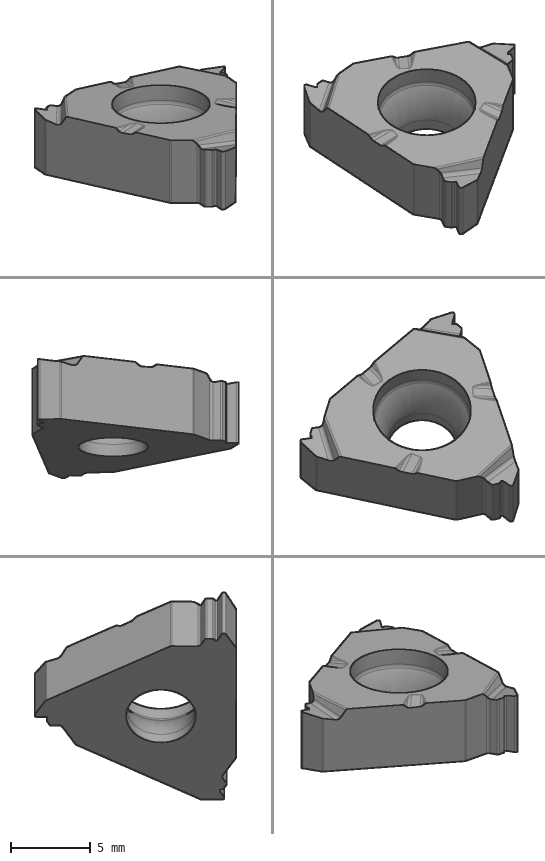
import cadquery as cq
import math

THICKNESS = 4.31
TOOTH_COUNT = 3
TOOTH_PITCH = 360 / TOOTH_COUNT

SIDE_DISTANCE = 4.76
FLANK_DISTANCE = 6.96
RELIEF_DISTANCE = 5.85
CREST_DISTANCE = 6.46
SIDE_NORMAL = 60
FLANK_NORMAL = 30
RELIEF_NORMAL = -30
TIP_EDGE_Y = -0.1
CREST_EDGE_Y = -0.8
NOTCH_ROOT_X = 7.17
NOTCH_CREST_X = 7.24

BODY_RADIUS = 0.2
TIP_RADIUS = 0.15
NOTCH_RADIUS = 0.08
NOTCH_CREST_RADIUS = 0.11
CREST_RADIUS = 0.14
RELIEF_RADIUS = 0.24

GROOVE_X = 6.38
GROOVE_DEPTH = 0.58
GROOVE_WALL_ANGLE = 60
GROOVE_FLOOR_RISE = 9
GROOVE_TILT = 5.1
GROOVE_YAW = 0.5
GROOVE_RADIUS = 0.32
GROOVE_EDGE_RADIUS = 0.15
GROOVE_REACH = 2.77

RAMP_END_X = -3.45
RAMP_END_Y = -0.51
RAMP_HEADING = 168
RAMP_SLOPE = 10
RAMP_HALF_WIDTH = 0.42
RAMP_WALL_ANGLE = 38
RAMP_RADIUS = 0.35
RAMP_EDGE_RADIUS = 0.14
RAMP_CUT_HEIGHT = 0.55
RAMP_CUT_LENGTH = 2.22
RIM_BOX_REACH = 1.39
RIM_BOX_MARGIN = 0.01

BORE_RADIUS = 4.4 / 2
RIM_RADIUS = 3.09
WALL_END_RADIUS = 3.04
WALL_DEPTH = 1.0
SEAT_RADIUS = 2.97
SEAT_DEPTH = 1.25
SEAT_BOTTOM_DEPTH = 3.51
SEAT_BLEND_RADIUS = 0.42


def meet(distance_a, normal_a, distance_b, normal_b):
    """Crossing point of two lines given by distance from the origin and normal direction."""
    a, b = math.radians(normal_a), math.radians(normal_b)
    det = math.sin(b - a)
    x = (distance_a * math.sin(b) - distance_b * math.sin(a)) / det
    y = (distance_b * math.cos(a) - distance_a * math.cos(b)) / det
    return cq.Vector(x, y)


def on_y(distance, normal, y):
    """Point at height y on a line given by its distance and normal direction."""
    return meet(distance, normal, y, 90)


def crest_at(x):
    """Point of the crest line at the given x."""
    return meet(CREST_DISTANCE, RELIEF_NORMAL, x, 0)


def rounded_outline(workplane, corners):
    """Closed wire through (point, radius) corners, each rounded by a tangent arc; radius 0 stays sharp."""
    outline = workplane
    for index, (corner, radius) in enumerate(corners):
        before = (corners[index - 1][0] - corner).normalized()
        after = (corners[(index + 1) % len(corners)][0] - corner).normalized()
        half_angle = before.getAngle(after) / 2
        setback = radius / math.tan(half_angle)
        bisector = (before + after).normalized()
        arc_start = corner + before * setback
        arc_middle = corner + bisector * (radius / math.sin(half_angle) - radius)
        arc_end = corner + after * setback
        go_to = outline.lineTo if index else outline.moveTo
        outline = go_to(arc_start.x, arc_start.y)
        if radius:
            outline = outline.threePointArc((arc_middle.x, arc_middle.y), (arc_end.x, arc_end.y))
    return outline.close()


def tooth_corners():
    """Corners of the +X tooth, running clockwise from the upper long side to the lower one."""
    return [
        (meet(SIDE_DISTANCE, SIDE_NORMAL, FLANK_DISTANCE, FLANK_NORMAL), BODY_RADIUS),
        (on_y(FLANK_DISTANCE, FLANK_NORMAL, TIP_EDGE_Y), TIP_RADIUS),
        (cq.Vector(NOTCH_ROOT_X, TIP_EDGE_Y), NOTCH_RADIUS),
        (crest_at(NOTCH_CREST_X), NOTCH_CREST_RADIUS),
        (on_y(CREST_DISTANCE, RELIEF_NORMAL, CREST_EDGE_Y), CREST_RADIUS),
        (on_y(RELIEF_DISTANCE, RELIEF_NORMAL, CREST_EDGE_Y), RELIEF_RADIUS),
        (meet(RELIEF_DISTANCE, RELIEF_NORMAL, SIDE_DISTANCE, -SIDE_NORMAL), BODY_RADIUS),
    ]


def make_body():
    """Insert blank: the tooth outline repeated around Z and extruded."""
    corners = []
    for index in range(TOOTH_COUNT):
        frame = cq.Plane.XY().rotated((0, 0, -index * TOOTH_PITCH))
        corners += [(frame.toWorldCoords(point), radius) for point, radius in tooth_corners()]
    return rounded_outline(cq.Workplane("XY"), corners).extrude(THICKNESS)


def groove_cutter():
    """Rake groove of the +X tooth, drawn in XZ and tilted to deepen towards +Y."""
    wall_run = GROOVE_REACH / math.tan(math.radians(GROOVE_WALL_ANGLE))
    floor_rise = GROOVE_REACH * math.tan(math.radians(GROOVE_FLOOR_RISE))
    corners = [
        (cq.Vector(-wall_run, GROOVE_REACH), 0),
        (cq.Vector(0, 0), GROOVE_RADIUS),
        (cq.Vector(GROOVE_REACH, floor_rise), 0),
        (cq.Vector(GROOVE_REACH, GROOVE_REACH), 0),
    ]
    section = rounded_outline(cq.Workplane("XZ"), corners)
    cutter = section.extrude(GROOVE_REACH, both=True)
    cutter = cutter.rotate((0, 0, 0), (1, 0, 0), -GROOVE_TILT)
    cutter = cutter.rotate((0, 0, 0), (0, 0, 1), -GROOVE_YAW)
    return cutter.translate((GROOVE_X, 0, THICKNESS - GROOVE_DEPTH))


def cut_groove(body):
    """Cut the rake groove of the +X tooth and round its edge with the top face."""
    grooved = body.cut(groove_cutter())
    wall_run = GROOVE_DEPTH / math.tan(math.radians(GROOVE_WALL_ANGLE))
    wall_top = (GROOVE_X - wall_run, 0, THICKNESS)
    return grooved.edges(cq.NearestToPointSelector(wall_top)).fillet(GROOVE_EDGE_RADIUS)


def ramp_cutter():
    """Ramped notch of the -X side, with flared walls and rounded floor edges."""
    flare = RAMP_CUT_HEIGHT / math.tan(math.radians(RAMP_WALL_ANGLE))
    top_half_width = RAMP_HALF_WIDTH + flare
    corners = [
        (cq.Vector(-RAMP_HALF_WIDTH, 0), RAMP_RADIUS),
        (cq.Vector(RAMP_HALF_WIDTH, 0), RAMP_RADIUS),
        (cq.Vector(top_half_width, RAMP_CUT_HEIGHT), 0),
        (cq.Vector(-top_half_width, RAMP_CUT_HEIGHT), 0),
    ]
    cutter = rounded_outline(cq.Workplane("YZ"), corners).extrude(RAMP_CUT_LENGTH)
    cutter = cutter.rotate((0, 0, 0), (0, 1, 0), RAMP_SLOPE)
    cutter = cutter.rotate((0, 0, 0), (0, 0, 1), RAMP_HEADING)
    return cutter.translate((RAMP_END_X, RAMP_END_Y, THICKNESS))


def cut_ramp(body):
    """Cut the ramped notch of the -X side and round its rim in the top face."""
    notched = body.cut(ramp_cutter())
    rim_box = cq.selectors.BoxSelector(
        (RIM_BOX_MARGIN - SIDE_DISTANCE, RAMP_END_Y - RIM_BOX_REACH, THICKNESS - RIM_BOX_MARGIN),
        (RAMP_END_X + RIM_BOX_MARGIN, RAMP_END_Y + RIM_BOX_REACH, THICKNESS + RIM_BOX_MARGIN),
    )
    return notched.edges(rim_box).fillet(RAMP_EDGE_RADIUS)


def hole_cutter():
    """Screw hole: tapered rim, small blend, convex seat tangent to the bore."""
    seat_run = SEAT_RADIUS - BORE_RADIUS
    seat_drop = SEAT_BOTTOM_DEPTH - SEAT_DEPTH
    seat_arc_radius = (seat_run ** 2 + seat_drop ** 2) / (2 * seat_run)
    return (
        cq.Workplane("XZ")
        .lineTo(BORE_RADIUS, 0)
        .lineTo(BORE_RADIUS, THICKNESS - SEAT_BOTTOM_DEPTH)
        .radiusArc((SEAT_RADIUS, THICKNESS - SEAT_DEPTH), seat_arc_radius)
        .radiusArc((WALL_END_RADIUS, THICKNESS - WALL_DEPTH), -SEAT_BLEND_RADIUS)
        .lineTo(RIM_RADIUS, THICKNESS)
        .lineTo(0, THICKNESS)
        .close()
        .revolve(360, (0, 0, 0), (0, 1, 0))
    )


result = make_body()
for _ in range(TOOTH_COUNT):
    result = cut_ramp(cut_groove(result))
    result = result.rotate((0, 0, 0), (0, 0, 1), TOOTH_PITCH)
result = result.cut(hole_cutter())